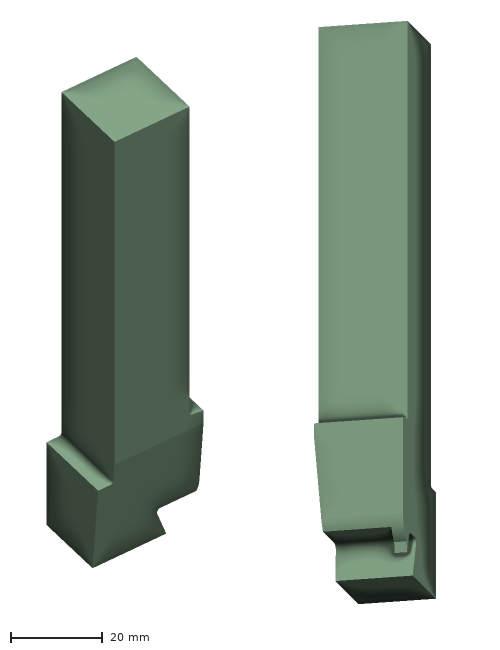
import cadquery as cq
import math

shank_size = 20.0
total_height = 124.0

front_step = 4.0
front_step_top = 24.1
back_step = 3.72
back_step_root = 34.0
back_step_flat = 1.5
back_step_slope = math.radians(10)
root_fillet = 0.7

jaw_arc_start = 12.0
jaw_arc_radius = 6.7
jaw_arc_drop = 5.6
tip_y = 20.2
tip_height = 4.0
tip_width = 0.25
jaw_thickness = 2.8

slot_top = 9.2
slot_jaw_y = 18.3
slot_support_y = 12.2
support_bottom_y = 15.65
slot_jaw_fillet = 1.8
slot_support_fillet = 1.0

relief_height = 30.0
relief_angle = math.radians(5)

back_y = shank_size + back_step
back_step_edge = back_step_root - (back_step - back_step_flat) * math.tan(back_step_slope)


def jaw_arc_point(drop):
    """Point on the jaw arc at a given distance below its vertical tangent point."""
    inset = jaw_arc_radius - math.sqrt(jaw_arc_radius**2 - drop**2)
    return back_y - inset, jaw_arc_start - drop


def fillet_x_edge(body, y, z, radius):
    """Round the edge parallel to X that passes through (y, z)."""
    probe = cq.selectors.NearestToPointSelector((shank_size / 2, y, z))
    return body.edges("|X").edges(probe).fillet(radius)


def make_body():
    """Side profile in the YZ plane, extruded across the shank width."""
    body = (
        cq.Workplane("YZ")
        .moveTo(0, total_height)
        .lineTo(0, front_step_top)
        .lineTo(-front_step, front_step_top)
        .lineTo(-front_step, 0)
        .lineTo(support_bottom_y, 0)
        .lineTo(slot_support_y, slot_top)
        .lineTo(slot_jaw_y, slot_top)
        .lineTo(tip_y, tip_height)
        .lineTo(tip_y + tip_width, tip_height)
        .lineTo(*jaw_arc_point(jaw_arc_drop))
        .threePointArc(jaw_arc_point(jaw_arc_drop / 2), jaw_arc_point(0))
        .lineTo(back_y, back_step_edge)
        .lineTo(shank_size + back_step_flat, back_step_root)
        .lineTo(shank_size, back_step_root)
        .lineTo(shank_size, total_height)
        .close()
        .extrude(shank_size)
    )
    body = fillet_x_edge(body, 0, front_step_top, root_fillet)
    body = fillet_x_edge(body, shank_size, back_step_root, root_fillet)
    body = fillet_x_edge(body, slot_jaw_y, slot_top, slot_jaw_fillet)
    return fillet_x_edge(body, slot_support_y, slot_top, slot_support_fillet)


def make_side_relief():
    """Wedge that narrows the head toward the bottom."""
    relief_depth = relief_height * math.tan(relief_angle)
    return (
        cq.Workplane("XZ", origin=(0, back_y, 0))
        .moveTo(shank_size, relief_height)
        .lineTo(shank_size, 0)
        .lineTo(shank_size - relief_depth, 0)
        .close()
        .extrude(back_y + front_step)
    )


def make_jaw_relief():
    """Block behind the jaw that leaves only a thin blade along the x = 0 face."""
    return cq.Workplane("XY").box(
        shank_size - jaw_thickness,
        back_y - support_bottom_y,
        slot_top,
        centered=False,
    ).translate((jaw_thickness, support_bottom_y, 0))


result = make_body().cut(make_side_relief()).cut(make_jaw_relief())